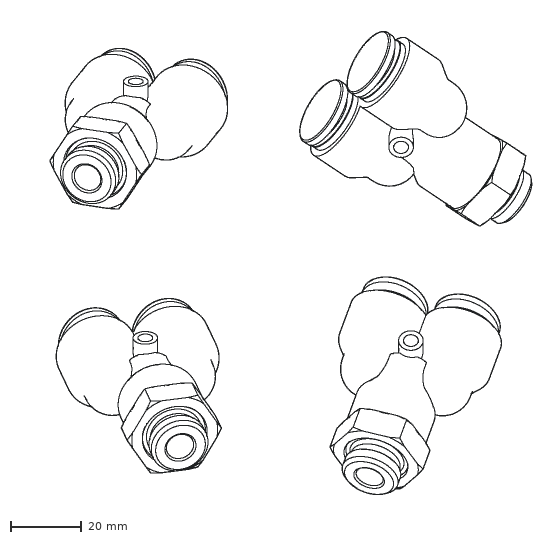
import cadquery as cq
import math


NUT_FACE_Y = 6.9
NUT_TOP_Y = 15.0
STEM_CONE_START_Y = 27.0
BOSS_Y = 42.0
SOCKET_SPHERE_Y = 37.5
SOCKET_CONE_START_Y = 45.0
SOCKET_MOUTH_Y = 57.0
STEM_END_Y = 40.1
OVERALL_LENGTH = 62.9

SHELL_RADIUS = 23.5 / 2
OVERALL_WIDTH = 45.0
SOCKET_X = OVERALL_WIDTH / 2 - SHELL_RADIUS
WAIST_RADIUS = 8.5
CONE_LENGTH = 5.0
CONE_BLEND_RADIUS = 2.0
EDGE_PICK_MARGIN = 0.1
STEM_END_ROUNDING = 1.0
BOSS_DIAMETER = 7.0
BOSS_HOLE_DIAMETER = 4.2

HEX_SIDES = 6
HEX_ACROSS_FLATS = 24.0
HEX_ACROSS_CORNERS = HEX_ACROSS_FLATS / math.cos(math.pi / HEX_SIDES)
HEX_FACE_RADIUS = 12.6
HEX_CHAMFER_HEIGHT = 0.6
RECESS_RADIUS = 9.25
RECESS_MOUTH_RADIUS = 9.5
RECESS_DEPTH = 1.0
THREAD_RADIUS = 16.66 / 2
THREAD_NECK_RADIUS = 14.6 / 2
THREAD_TOP_Y = 4.5
THREAD_BACK_BEVEL = 0.7
THREAD_TIP_BEVEL = THREAD_RADIUS - THREAD_NECK_RADIUS
NECK_FLARE_START_Y = 6.6
NECK_FLARE_ANGLE = 30.0
BORE_RADIUS = 8.0 / 2
BORE_BEVEL = 0.55

GUIDE_RADIUS = 19.6 / 2
GUIDE_LENGTH = 1.9
GUIDE_BEVEL = 0.15
GUIDE_TOP_Y = SOCKET_MOUTH_Y + GUIDE_LENGTH
COLLAR_NECK_RADIUS = 14.2 / 2
COLLAR_FLANGE_THICKNESS = 2.2
COLLAR_FLANGE_WIDTH = 19.5
COLLAR_FLANGE_HEIGHT = 22.4
COLLAR_BEVEL = 0.4


def revolve_about_y(profile):
    return profile.close().revolve(360, (0, 0, 0), (0, 1, 0))


def cylinder_along_y(radius, start_y, end_y):
    return cq.Workplane("XZ", origin=(0, start_y, 0)).circle(radius).extrude(start_y - end_y)


def blend_cone_edges(body, cone_edge_stations):
    """Round the circular edges that lie at the given stations along Y."""
    for station in cone_edge_stations:
        near_station = cq.selectors.BoxSelector(
            (-OVERALL_WIDTH, station - EDGE_PICK_MARGIN, -OVERALL_WIDTH),
            (OVERALL_WIDTH, station + EDGE_PICK_MARGIN, OVERALL_WIDTH),
            boundingbox=True,
        )
        body = body.edges(near_station).edges("%CIRCLE").fillet(CONE_BLEND_RADIUS)
    return body


def make_socket():
    """A socket shell that narrows through a cone to a waist with a hemispherical end."""
    cone_end_y = SOCKET_CONE_START_Y - CONE_LENGTH
    arc_reach = WAIST_RADIUS * math.sqrt(0.5)
    socket = revolve_about_y(
        cq.Workplane("XY")
        .moveTo(0, SOCKET_SPHERE_Y - WAIST_RADIUS)
        .threePointArc((arc_reach, SOCKET_SPHERE_Y - arc_reach), (WAIST_RADIUS, SOCKET_SPHERE_Y))
        .lineTo(WAIST_RADIUS, cone_end_y)
        .lineTo(SHELL_RADIUS, SOCKET_CONE_START_Y)
        .lineTo(SHELL_RADIUS, SOCKET_MOUTH_Y)
        .lineTo(0, SOCKET_MOUTH_Y)
    )
    return blend_cone_edges(socket, (SOCKET_CONE_START_Y, cone_end_y))


def make_stem():
    """The stem that carries the nut, narrowing to a waist with a rounded end."""
    cone_end_y = STEM_CONE_START_Y + CONE_LENGTH
    stem = revolve_about_y(
        cq.Workplane("XY")
        .moveTo(0, NUT_TOP_Y)
        .lineTo(SHELL_RADIUS, NUT_TOP_Y)
        .lineTo(SHELL_RADIUS, STEM_CONE_START_Y)
        .lineTo(WAIST_RADIUS, cone_end_y)
        .lineTo(WAIST_RADIUS, STEM_END_Y)
        .lineTo(0, STEM_END_Y)
    )
    stem = stem.faces(">Y").edges().fillet(STEM_END_ROUNDING)
    return blend_cone_edges(stem, (STEM_CONE_START_Y, cone_end_y))


def make_housing():
    """Two sockets side by side, the stem between them and the vertical mounting boss."""
    socket = make_socket()
    boss_height = 2 * SHELL_RADIUS
    boss_plane = cq.Workplane("XY", origin=(0, BOSS_Y, -SHELL_RADIUS))
    boss = boss_plane.circle(BOSS_DIAMETER / 2).extrude(boss_height)
    boss_hole = boss_plane.circle(BOSS_HOLE_DIAMETER / 2).extrude(boss_height)
    housing = make_stem()
    for side in (-1, 1):
        housing = housing.union(socket.translate((side * SOCKET_X, 0, 0)))
    return housing.union(boss).cut(boss_hole)


def make_hexagon():
    """The hexagon, with its corners turned down by a cone at both ends."""
    corner_radius = HEX_ACROSS_CORNERS / 2
    hexagon = (
        cq.Workplane("XZ", origin=(0, NUT_TOP_Y, 0))
        .polygon(HEX_SIDES, HEX_ACROSS_CORNERS)
        .extrude(NUT_TOP_Y - NUT_FACE_Y)
    )
    turned_envelope = revolve_about_y(
        cq.Workplane("XY")
        .moveTo(0, NUT_FACE_Y)
        .lineTo(HEX_FACE_RADIUS, NUT_FACE_Y)
        .lineTo(corner_radius, NUT_FACE_Y + HEX_CHAMFER_HEIGHT)
        .lineTo(corner_radius, NUT_TOP_Y - HEX_CHAMFER_HEIGHT)
        .lineTo(HEX_FACE_RADIUS, NUT_TOP_Y)
        .lineTo(0, NUT_TOP_Y)
    )
    return hexagon.intersect(turned_envelope)


def make_nut():
    """Hexagon with a recessed front face, a neck that flares into it and a thread with a bore."""
    recess_floor_y = NUT_FACE_Y + RECESS_DEPTH
    recess = revolve_about_y(
        cq.Workplane("XY")
        .moveTo(0, NUT_FACE_Y)
        .lineTo(RECESS_MOUTH_RADIUS, NUT_FACE_Y)
        .lineTo(RECESS_RADIUS, recess_floor_y)
        .lineTo(0, recess_floor_y)
    )
    flare_length = recess_floor_y - NECK_FLARE_START_Y
    flare_end_radius = THREAD_NECK_RADIUS + flare_length * math.tan(math.radians(NECK_FLARE_ANGLE))
    threaded_end = revolve_about_y(
        cq.Workplane("XY")
        .lineTo(THREAD_RADIUS - THREAD_TIP_BEVEL, 0)
        .lineTo(THREAD_RADIUS, THREAD_TIP_BEVEL)
        .lineTo(THREAD_RADIUS, THREAD_TOP_Y - THREAD_BACK_BEVEL)
        .lineTo(THREAD_NECK_RADIUS, THREAD_TOP_Y)
        .lineTo(THREAD_NECK_RADIUS, NECK_FLARE_START_Y)
        .lineTo(flare_end_radius, recess_floor_y)
        .lineTo(0, recess_floor_y)
    )
    bore = cylinder_along_y(BORE_RADIUS, 0, NUT_TOP_Y)
    bore_bevel = revolve_about_y(
        cq.Workplane("XY")
        .lineTo(BORE_RADIUS + BORE_BEVEL, 0)
        .lineTo(BORE_RADIUS, BORE_BEVEL)
        .lineTo(0, BORE_BEVEL)
    )
    return make_hexagon().cut(recess).union(threaded_end).cut(bore).cut(bore_bevel)


def make_guide(x):
    """The guide ring seated on a socket mouth."""
    guide = cylinder_along_y(GUIDE_RADIUS, SOCKET_MOUTH_Y, GUIDE_TOP_Y)
    return guide.faces(">Y").edges().chamfer(GUIDE_BEVEL).translate((x, 0, 0))


def make_collar(x):
    """The release collar: a round neck under a flat oval flange."""
    flange_start_y = OVERALL_LENGTH - COLLAR_FLANGE_THICKNESS
    neck = cylinder_along_y(COLLAR_NECK_RADIUS, GUIDE_TOP_Y, flange_start_y)
    flange = (
        cq.Workplane("XZ", origin=(0, flange_start_y, 0))
        .ellipse(COLLAR_FLANGE_WIDTH / 2, COLLAR_FLANGE_HEIGHT / 2)
        .extrude(-COLLAR_FLANGE_THICKNESS)
    )
    flange = flange.faces(">Y").edges().chamfer(COLLAR_BEVEL)
    return neck.union(flange).translate((x, 0, 0))


housing = make_housing()
nut = make_nut()
socket_centres = (-SOCKET_X, SOCKET_X)
guides = [make_guide(x).val() for x in socket_centres]
collars = [make_collar(x).val() for x in socket_centres]

result = cq.Compound.makeCompound([housing.val(), nut.val(), *guides, *collars])